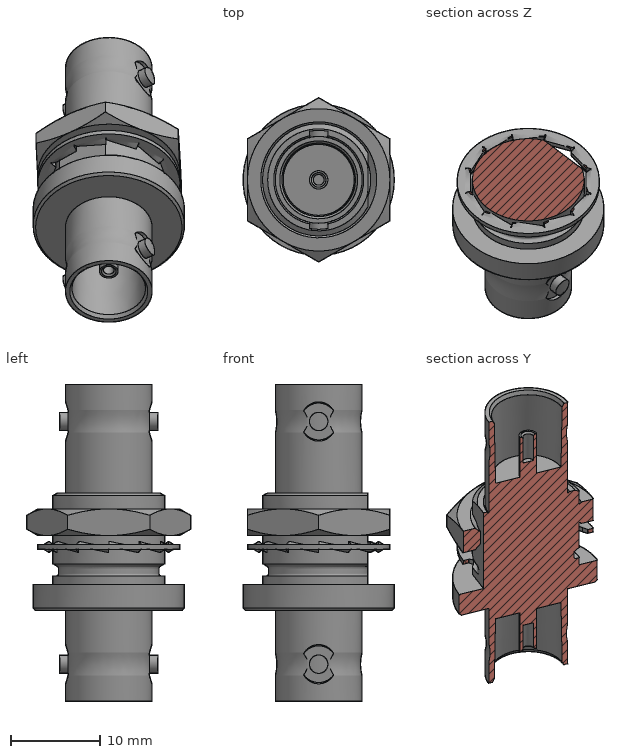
import cadquery as cq
import math

LENGTH = 35.6
CUT_MARGIN = 0.35

BARREL_RADIUS = 4.88
BAYONET_INSET = 4.15
BAND_WIDTH = 2.55
BAND_DEPTH = 0.16
PIN_RADIUS = 1.05
PIN_TIP_RADIUS = 5.55
POCKET_RADIUS = 2.2
POCKET_FLOOR_RADIUS = 2.05
POCKET_FLOOR = 4.55

MOUTH_RADIUS = 4.38
MOUTH_DEPTH = 0.45
BORE_RADIUS = 4.13
FLOOR_RADIUS = 4.0
SOCKET_DEPTH = 8.55
CONTACT_RADIUS = 1.05
CONTACT_INSET = 3.17
CONTACT_HOLE_RADIUS = 0.6
CONTACT_HOLE_DEPTH = 3.55
CONTACT_COUNTERSINK = 0.2

FLANGE_RADIUS = 8.5
FLANGE_BOTTOM = 10.18
FLANGE_TOP = 13.15
FLANGE_CHAMFER = 0.3

COLLAR_RADIUS = 6.3
COLLAR_TOP = 23.42
COLLAR_FLAT_X = 5.52
COLLAR_CHAMFER_WIDTH = 0.57
COLLAR_CHAMFER_HEIGHT = 0.32
COUNTERSINK = 0.18

GROOVE_RADIUS = 5.65
GROOVE_BOTTOM = 14.1
GROOVE_TOP = 15.45
GROOVE_FILLET = 0.2
GROOVE_TAPER_WIDTH = 0.55
GROOVE_TAPER_HEIGHT = 0.32

NUT_SIDES = 6
NUT_CORNER_DIAMETER = 18.48
NUT_CORNER_RADIUS = NUT_CORNER_DIAMETER / 2
NUT_FLAT_RADIUS = NUT_CORNER_RADIUS * math.cos(math.pi / NUT_SIDES)
NUT_BOTTOM = 18.62
NUT_HEIGHT = 3.0
NUT_CHAMFER_ANGLE = 30
NUT_BORE_RADIUS = 5.85
NUT_MOUTH_RADIUS = 6.5

WASHER_RADIUS = NUT_FLAT_RADIUS
WASHER_BOTTOM = 17.05
WASHER_THICKNESS = 0.57
TOOTH_COUNT = 12
TOOTH_PITCH = 360 / TOOTH_COUNT
TOOTH_ANGLE = 29.5
TOOTH_ROOT = 7.05
TOOTH_TIP = 6.48
TOOTH_TWIST = 0.35


def cylinder(radius, bottom, top):
    return cq.Workplane("XY").workplane(offset=bottom).circle(radius).extrude(top - bottom)


def revolve(points):
    """Turn an outline of (radius, height) points around the Z axis."""
    return cq.Workplane("XZ").polyline(points).close().revolve(360, (0, 0), (0, 1))


def bayonet_pockets():
    """Opposed round flat-floored pockets whose walls flare out to the barrel surface."""
    pockets = cq.Workplane("XY")
    for side in (-1, 1):
        pockets = pockets.add(cq.Solid.makeCone(
            POCKET_FLOOR_RADIUS,
            POCKET_RADIUS,
            BARREL_RADIUS - POCKET_FLOOR,
            pnt=cq.Vector(0, side * POCKET_FLOOR, 0),
            dir=cq.Vector(0, side, 0),
        ))
    return pockets.combine()


def bayonet_band():
    """Shallow concave ring cut around the barrel."""
    half = BAND_WIDTH / 2
    return (
        cq.Workplane("XZ")
        .moveTo(BARREL_RADIUS, -half)
        .threePointArc((BARREL_RADIUS - BAND_DEPTH, 0), (BARREL_RADIUS, half))
        .lineTo(BARREL_RADIUS + CUT_MARGIN, half)
        .lineTo(BARREL_RADIUS + CUT_MARGIN, -half)
        .close()
        .revolve(360, (0, 0), (0, 1))
    )


def bayonet_pins():
    """Opposed pins whose tips follow a cylinder around the barrel axis."""
    rod = cq.Workplane("XZ").circle(PIN_RADIUS).extrude(2 * PIN_TIP_RADIUS, both=True)
    envelope = cylinder(PIN_TIP_RADIUS, -PIN_RADIUS, PIN_RADIUS)
    core = cylinder(BORE_RADIUS, -PIN_RADIUS, PIN_RADIUS)
    return rod.intersect(envelope).cut(core)


def socket():
    """Bore of the upper end, leaving the center contact standing."""
    bore = revolve([
        (0, LENGTH - SOCKET_DEPTH),
        (FLOOR_RADIUS, LENGTH - SOCKET_DEPTH),
        (BORE_RADIUS, LENGTH - MOUTH_DEPTH),
        (MOUTH_RADIUS, LENGTH),
        (0, LENGTH),
    ])
    contact_top = LENGTH - CONTACT_INSET
    contact = cylinder(CONTACT_RADIUS, LENGTH - SOCKET_DEPTH, contact_top)
    contact_hole = revolve([
        (0, contact_top - CONTACT_HOLE_DEPTH),
        (CONTACT_HOLE_RADIUS, contact_top - CONTACT_HOLE_DEPTH),
        (CONTACT_HOLE_RADIUS, contact_top - CONTACT_COUNTERSINK),
        (CONTACT_HOLE_RADIUS + CONTACT_COUNTERSINK, contact_top),
        (0, contact_top),
    ])
    return bore.cut(contact.cut(contact_hole))


def barrel_end():
    """Upper half of the barrel with its bayonet features and socket."""
    pin_height = (0, 0, LENGTH - BAYONET_INSET)
    return (
        cylinder(BARREL_RADIUS, LENGTH / 2, LENGTH)
        .cut(bayonet_band().translate(pin_height))
        .cut(bayonet_pockets().translate(pin_height))
        .cut(socket())
        .union(bayonet_pins().translate(pin_height))
    )


def flange():
    return (
        cylinder(FLANGE_RADIUS, FLANGE_BOTTOM, FLANGE_TOP)
        .faces("<Z").edges().chamfer(FLANGE_CHAMFER)
    )


def relief_groove():
    """Groove with a filleted lower corner and a tapered upper side."""
    taper_foot = GROOVE_TOP - GROOVE_TAPER_HEIGHT
    outside = COLLAR_RADIUS + CUT_MARGIN
    return (
        cq.Workplane("XZ")
        .moveTo(outside, GROOVE_BOTTOM)
        .lineTo(GROOVE_RADIUS + GROOVE_FILLET, GROOVE_BOTTOM)
        .radiusArc((GROOVE_RADIUS, GROOVE_BOTTOM + GROOVE_FILLET), GROOVE_FILLET)
        .lineTo(GROOVE_RADIUS, taper_foot - GROOVE_FILLET)
        .tangentArcPoint((COLLAR_RADIUS - GROOVE_TAPER_WIDTH, taper_foot), relative=False)
        .lineTo(COLLAR_RADIUS, GROOVE_TOP)
        .lineTo(outside, GROOVE_TOP)
        .close()
        .revolve(360, (0, 0), (0, 1))
    )


def collar():
    blank = revolve([
        (0, FLANGE_TOP),
        (COLLAR_RADIUS, FLANGE_TOP),
        (COLLAR_RADIUS, COLLAR_TOP - COLLAR_CHAMFER_HEIGHT),
        (COLLAR_RADIUS - COLLAR_CHAMFER_WIDTH, COLLAR_TOP),
        (BARREL_RADIUS + COUNTERSINK, COLLAR_TOP),
        (BARREL_RADIUS, COLLAR_TOP - COUNTERSINK),
        (0, COLLAR_TOP - COUNTERSINK),
    ])
    height = COLLAR_TOP - FLANGE_TOP
    past_flat = (
        cq.Workplane("XY")
        .box(COLLAR_RADIUS, 2 * COLLAR_RADIUS, height, centered=(False, True, False))
        .translate((COLLAR_FLAT_X, 0, FLANGE_TOP))
    )
    return blank.cut(relief_groove()).cut(past_flat)


def nut():
    """Hexagon chamfered at both ends, with a countersunk bore."""
    top = NUT_BOTTOM + NUT_HEIGHT
    drop = (NUT_CORNER_RADIUS - NUT_FLAT_RADIUS) * math.tan(math.radians(NUT_CHAMFER_ANGLE))
    sink = NUT_MOUTH_RADIUS - NUT_BORE_RADIUS
    turned = revolve([
        (NUT_MOUTH_RADIUS, NUT_BOTTOM),
        (NUT_FLAT_RADIUS, NUT_BOTTOM),
        (NUT_CORNER_RADIUS, NUT_BOTTOM + drop),
        (NUT_CORNER_RADIUS, top - drop),
        (NUT_FLAT_RADIUS, top),
        (NUT_MOUTH_RADIUS, top),
        (NUT_BORE_RADIUS, top - sink),
        (NUT_BORE_RADIUS, NUT_BOTTOM + sink),
    ])
    hexagon = (
        cq.Workplane("XY").workplane(offset=NUT_BOTTOM)
        .polygon(NUT_SIDES, NUT_CORNER_DIAMETER).extrude(NUT_HEIGHT)
        .rotate((0, 0, 0), (0, 0, 1), 180 / NUT_SIDES)
    )
    return turned.intersect(hexagon)


def make_connector():
    """Double-ended bulkhead connector; the nut is one piece with the collar."""
    upper_end = barrel_end()
    lower_end = upper_end.mirror("XY", (0, 0, LENGTH / 2))
    return upper_end.union(lower_end).union(flange()).union(collar()).union(nut())


def tooth_section(distance, twist):
    """Cross-section of a tooth at a distance from the axis, sheared by the twist."""
    half = distance * math.tan(math.radians(TOOTH_ANGLE / 2))
    return cq.Wire.makePolygon([
        cq.Vector(distance, -half, twist),
        cq.Vector(distance, half, -twist),
        cq.Vector(distance, half, WASHER_THICKNESS - twist),
        cq.Vector(distance, -half, WASHER_THICKNESS + twist),
    ], close=True)


def make_lock_washer():
    """Ring with a many-sided hole and one twisted tooth on each side of it."""
    root_corner = TOOTH_ROOT / math.cos(math.radians(TOOTH_PITCH / 2))
    washer = (
        cq.Workplane("XY").circle(WASHER_RADIUS)
        .polygon(TOOTH_COUNT, 2 * root_corner).extrude(WASHER_THICKNESS)
    )
    tooth = cq.Workplane(cq.Solid.makeLoft(
        [tooth_section(TOOTH_ROOT, 0), tooth_section(TOOTH_TIP, TOOTH_TWIST)], True
    ))
    for i in range(TOOTH_COUNT):
        angle = (i + 0.5) * TOOTH_PITCH
        washer = washer.union(tooth.rotate((0, 0, 0), (0, 0, 1), angle))
    return washer.translate((0, 0, WASHER_BOTTOM))


connector = make_connector()
lock_washer = make_lock_washer()

result = cq.Compound.makeCompound([connector.val(), lock_washer.val()])